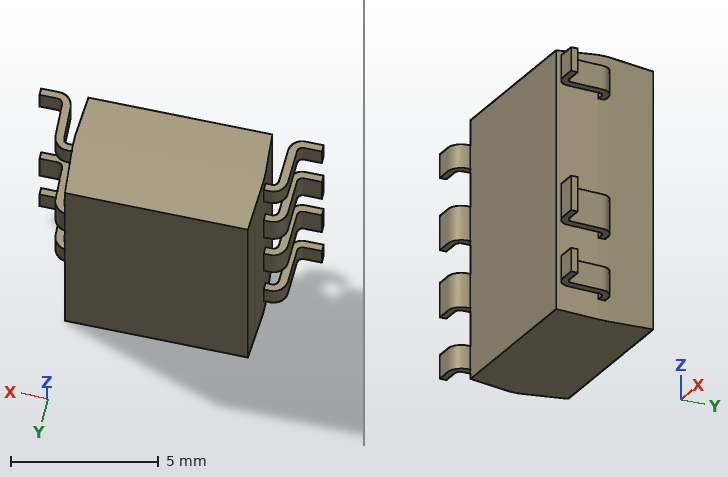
import cadquery as cq
import math

BODY_WIDTH = 6.6
BODY_LENGTH = 9.85
BODY_STANDOFF = 0.3
BAND_BOTTOM = 1.85
BAND_TOP = 2.2
BODY_TOP = 4.0
DRAFT_ANGLE = 4.0

LEAD_SPAN = 9.8
LEAD_THICKNESS = 0.25
SHOULDER_BOTTOM = BAND_BOTTOM
SHOULDER_TOP = SHOULDER_BOTTOM + LEAD_THICKNESS
TIP_TO_SHANK = 1.0
SHANK_THICKNESS = 0.305
SHANK_LEAN = 2.0
INNER_BEND_RADIUS = 0.2
OUTER_BEND_RADIUS = 0.5
LEAD_EMBED = 0.3

INNER_ROW = 1.25
OUTER_ROW = 3.735
WIDE_LEAD = 1.28
NARROW_LEAD = 0.88
RIGHT_LEADS = [
    (OUTER_ROW, NARROW_LEAD),
    (-INNER_ROW, WIDE_LEAD),
    (-OUTER_ROW, NARROW_LEAD),
]
LEFT_LEADS = RIGHT_LEADS + [(INNER_ROW, WIDE_LEAD)]


def body_slab(start, end, taper=0.0):
    """Block with the band's section at Y = start, narrowing by the taper towards Y = end."""
    direction = math.copysign(1, end - start)
    plane = cq.Plane(origin=(0, start, 0), xDir=(1, 0, 0), normal=(0, direction, 0))
    section = cq.Workplane(plane).rect(BODY_WIDTH, BODY_LENGTH)
    return section.extrude(abs(end - start), taper=taper)


def make_body():
    band = body_slab(BAND_BOTTOM, BAND_TOP)
    upper = body_slab(BAND_TOP, BODY_TOP, DRAFT_ANGLE)
    lower = body_slab(BAND_BOTTOM, BODY_STANDOFF, DRAFT_ANGLE)
    return band.union(upper).union(lower)


def shank_point(y, side):
    """Point at height y on the shank face towards the tip (side = -1) or the body (side = 1)."""
    middle = -LEAD_SPAN / 2 + TIP_TO_SHANK
    lean = (y - SHOULDER_TOP / 2) * math.tan(math.radians(SHANK_LEAN))
    return (middle + lean + side * SHANK_THICKNESS / 2, y)


def round_bends(lead, corners, center_z, radius):
    """Fillet the lead's Z edges that pass through the given XY corners."""
    first, second = [cq.NearestToPointSelector((x, y, center_z)) for x, y in corners]
    return lead.edges("|Z").edges(first + second).fillet(radius)


def left_lead(center_z, width):
    """Lead on the -X side, centred at the given Z."""
    tip = -LEAD_SPAN / 2
    root = -BODY_WIDTH / 2 + LEAD_EMBED
    heel = shank_point(0, 1)
    armpit = shank_point(SHOULDER_BOTTOM, 1)
    shoulder = shank_point(SHOULDER_TOP, -1)
    instep = shank_point(LEAD_THICKNESS, -1)
    outline = [
        (tip, 0),
        heel,
        armpit,
        (root, SHOULDER_BOTTOM),
        (root, SHOULDER_TOP),
        shoulder,
        instep,
        (tip, LEAD_THICKNESS),
    ]
    profile = cq.Workplane("XY", origin=(0, 0, center_z)).polyline(outline).close()
    lead = profile.extrude(width / 2, both=True)
    lead = round_bends(lead, [heel, shoulder], center_z, OUTER_BEND_RADIUS)
    return round_bends(lead, [armpit, instep], center_z, INNER_BEND_RADIUS)


result = make_body()
for center_z, width in LEFT_LEADS:
    result = result.union(left_lead(center_z, width))
for center_z, width in RIGHT_LEADS:
    result = result.union(left_lead(center_z, width).mirror("YZ"))